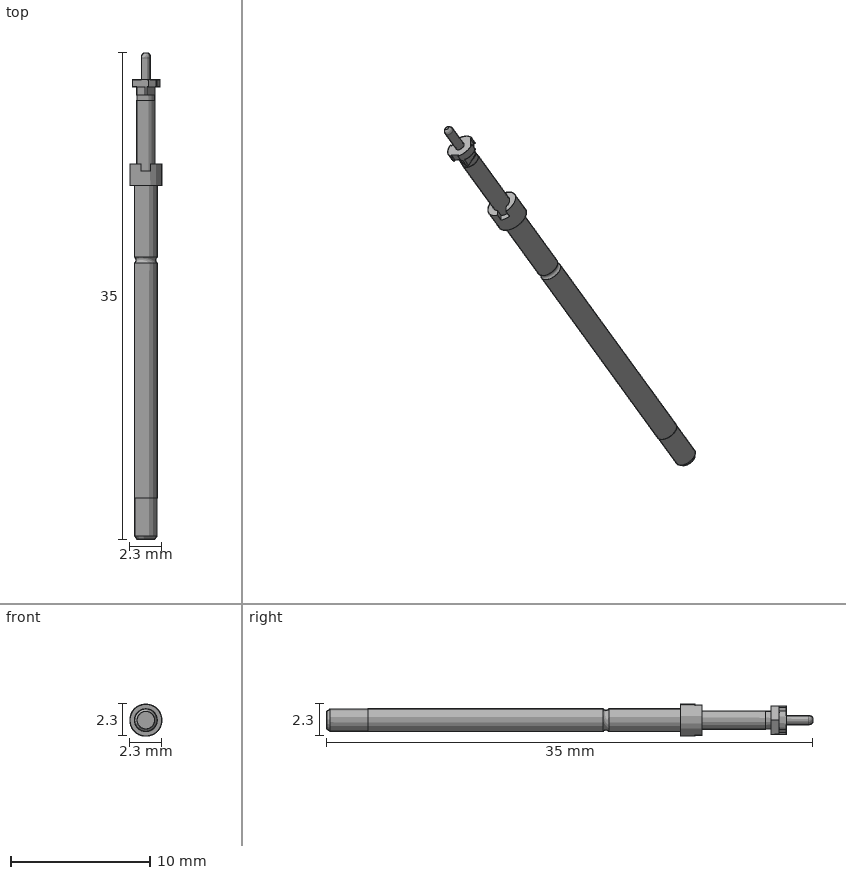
import cadquery as cq
import math

total_length = 35.0

tail_diameter = 1.6
tail_length = 2.98
tail_chamfer_length = 0.25
tail_chamfer_width = 0.18
barrel_diameter = 1.65
groove_center = 20.1
groove_width = 0.42
groove_depth = 0.1

collar_diameter = 2.3
collar_start = 25.45
collar_end = 27.02
collar_slot_width = 0.7
collar_slot_depth = 0.52

sleeve_diameter = 1.33
sleeve_end = 31.57
neck_diameter = 1.3

key_start = 31.95
key_across_flats = 1.15
key_face_angle = 30.0

flange_diameter = 2.05
flange_start = 32.55
flange_end = 33.08
notch_count = 3
notch_width = 0.7
notch_floor_radius = 0.85

pin_diameter = 0.65
pin_shoulder = 34.65
pin_tip_flat_radius = 0.15
pin_tip_rounding = 0.35


def cylinder(diameter, start, end):
    """Cylinder on the Y axis between two stations."""
    base = cq.Workplane("XZ", origin=(0, start, 0))
    return base.circle(diameter / 2).extrude(start - end)


def make_tail():
    """Tail with a chamfered closed end."""
    profile = cq.Workplane("XY").polyline([
        (0, 0),
        (tail_diameter / 2 - tail_chamfer_width, 0),
        (tail_diameter / 2, tail_chamfer_length),
        (tail_diameter / 2, tail_length),
        (0, tail_length),
    ]).close()
    return profile.revolve(360, (0, 0, 0), (0, 1, 0))


def make_barrel():
    """Barrel with a rounded ring groove."""
    radius = barrel_diameter / 2
    profile = (
        cq.Workplane("XY")
        .moveTo(0, tail_length)
        .lineTo(radius, tail_length)
        .lineTo(radius, groove_center - groove_width / 2)
        .threePointArc(
            (radius - groove_depth, groove_center),
            (radius, groove_center + groove_width / 2),
        )
        .lineTo(radius, collar_start)
        .lineTo(0, collar_start)
        .close()
    )
    return profile.revolve(360, (0, 0, 0), (0, 1, 0))


def make_collar():
    """Collar slotted across its front edge; the sleeve refills the middle of the slot."""
    slot = cq.Workplane("XY").box(collar_slot_width, collar_slot_depth, collar_diameter)
    slot = slot.translate((0, collar_end - collar_slot_depth / 2, 0))
    return cylinder(collar_diameter, collar_start, collar_end).cut(slot)


def make_key():
    """Diamond section, with its tall corners trimmed to the flange diameter."""
    face_angle = math.radians(key_face_angle)
    half_width = key_across_flats / 2 / math.cos(face_angle)
    half_height = key_across_flats / 2 / math.sin(face_angle)
    diamond = (
        cq.Workplane("XZ", origin=(0, key_start, 0))
        .polyline([(-half_width, 0), (0, half_height), (half_width, 0), (0, -half_height)])
        .close()
        .extrude(key_start - flange_start)
    )
    return diamond.intersect(cylinder(flange_diameter, key_start, flange_start))


def make_flange():
    """Flange disc with evenly spaced flat-bottomed rim notches, one facing -X."""
    flange = cylinder(flange_diameter, flange_start, flange_end)
    notch_height = flange_diameter / 2
    notch = cq.Workplane("XY").box(notch_height, flange_end - flange_start, notch_width)
    notch = notch.translate((-notch_floor_radius - notch_height / 2, (flange_start + flange_end) / 2, 0))
    for i in range(notch_count):
        flange = flange.cut(notch.rotate((0, 0, 0), (0, 1, 0), i * 360 / notch_count))
    return flange


def make_pin():
    """Pin with a rounded tip ending in a small flat."""
    radius = pin_diameter / 2
    profile = (
        cq.Workplane("XY")
        .moveTo(0, flange_end)
        .lineTo(radius, flange_end)
        .lineTo(radius, pin_shoulder)
        .radiusArc((pin_tip_flat_radius, total_length), -pin_tip_rounding)
        .lineTo(0, total_length)
        .close()
    )
    return profile.revolve(360, (0, 0, 0), (0, 1, 0))


result = (
    make_tail()
    .union(make_barrel())
    .union(make_collar())
    .union(cylinder(sleeve_diameter, collar_start, sleeve_end))
    .union(cylinder(neck_diameter, sleeve_end, key_start))
    .union(make_key())
    .union(make_flange())
    .union(make_pin())
)